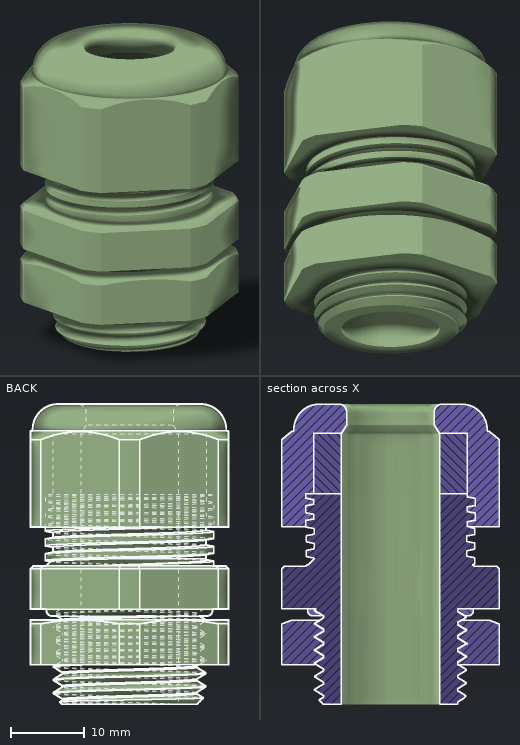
import cadquery as cq
import math

across_flats = 27.0
corner_radius = 14.85

total_height = 40.9
nut_bottom = 5.4
nut_top = 11.5
body_hex_bottom = 12.95
body_hex_top = 18.85
cap_bottom = 24.13
body_top = 28.62

dome_radius = 13.2
dome_round = 3.5
cap_cone_radius = 13.4
cap_cone_top = 37.2
cap_cone_bottom = 36.02
mouth_radius = 5.93
mouth_round = 1.15
mouth_bottom = 38.03

bore_radius = 6.65
seal_top = 36.85
seal_radius = 10.43

body_hex_chamfer = 0.4
shoulder_radius = 11.35
shoulder_height = 1.0

cap_pitch = 2.0
cap_crest_radius = 11.5
cap_root_radius = 10.43
cap_crest_width = 0.9
cap_root_width = 1.3
cap_thread_start = 18.05

entry_pitch = 1.8
entry_crest_radius = 10.4
entry_root_radius = 9.15
entry_crest_width = 0.1
entry_root_width = 1.6
entry_thread_start = -2.05
lead_in_radius = 9.15

ring_radius = 11.33
ring_height = 0.95
ring_round = 0.78
nut_cone_radius = 13.5
nut_cone_height = 0.55

ridge_embedding = 0.1


def cylinder(radius, bottom, top):
    return cq.Workplane("XY").workplane(offset=bottom).circle(radius).extrude(top - bottom)


def hexagon(bottom, top):
    """Hexagonal prism with flats on +X and -X and its corners turned down to a cylinder."""
    prism = (
        cq.Workplane("XY")
        .workplane(offset=bottom)
        .polygon(6, across_flats, circumscribed=True)
        .extrude(top - bottom)
    )
    return prism.intersect(cylinder(corner_radius, bottom, top))


def cone_turned(hexagonal, bottom, top, small_radius, cone_height):
    """Turn the upper corners of a hexagon down to a cone."""
    envelope = (
        cq.Workplane("XZ")
        .polyline([
            (0, bottom),
            (corner_radius, bottom),
            (corner_radius, top - cone_height),
            (small_radius, top),
            (0, top),
        ])
        .close()
        .revolve(360, (0, 0, 0), (0, 1, 0))
    )
    return hexagonal.intersect(envelope)


def threaded_rod(pitch, start, end, root_radius, crest_radius, root_width, crest_width):
    """Round core with a right-handed ridge whose centre line starts on +X at the start height."""
    embedded_radius = root_radius - ridge_embedding
    flank_spread = (root_width - crest_width) / (crest_radius - root_radius)
    half_crest = crest_width / 2
    half_foot = half_crest + flank_spread * (crest_radius - embedded_radius) / 2
    helix = cq.Wire.makeHelix(pitch, end - start, embedded_radius, cq.Vector(0, 0, start))
    ridge = (
        cq.Workplane("XZ")
        .polyline([
            (embedded_radius, start - half_foot),
            (crest_radius, start - half_crest),
            (crest_radius, start + half_crest),
            (embedded_radius, start + half_foot),
        ])
        .close()
        .sweep(cq.Workplane(helix), isFrenet=True)
    )
    return cylinder(root_radius, start - pitch, end + pitch).union(ridge)


def cap_thread():
    """Threaded neck above the body hexagon, with a conical shoulder at its foot."""
    rod = threaded_rod(
        cap_pitch, cap_thread_start, body_top + cap_pitch,
        cap_root_radius, cap_crest_radius, cap_root_width, cap_crest_width,
    )
    shoulder = cq.Workplane(cq.Solid.makeCone(
        shoulder_radius, shoulder_radius - shoulder_height, shoulder_height,
        cq.Vector(0, 0, body_hex_top),
    ))
    return rod.intersect(cylinder(corner_radius, cap_thread_start, body_top)).union(shoulder)


def entry_thread():
    """Threaded shank below the body hexagon, with a 45 degree lead-in at its end."""
    rod = threaded_rod(
        entry_pitch, entry_thread_start, body_hex_bottom + entry_pitch,
        entry_root_radius, entry_crest_radius, entry_root_width, entry_crest_width,
    )
    trimmed = cylinder(corner_radius, 0, body_hex_bottom)
    return rod.intersect(trimmed.faces("<Z").chamfer(corner_radius - lead_in_radius))


def make_body():
    collar = hexagon(body_hex_bottom, body_hex_top).faces(">Z").chamfer(body_hex_chamfer)
    solid = collar.union(cap_thread()).union(entry_thread())
    return solid.cut(cylinder(bore_radius, 0, body_top))


def make_seal():
    """Plain sleeve standing on the end of the body, inside the cap."""
    return cylinder(seal_radius, body_top, seal_top).cut(cylinder(bore_radius, body_top, seal_top))


def make_cap(body):
    """Domed hexagonal cap: a rounded mouth flaring to the seal, then the threaded socket."""
    hexagonal = cone_turned(
        hexagon(cap_bottom, cap_cone_top), cap_bottom, cap_cone_top,
        cap_cone_radius, cap_cone_top - cap_cone_bottom,
    )
    dome = cylinder(dome_radius, cap_bottom, total_height).faces(">Z").edges().fillet(dome_round)
    slant = math.sqrt(0.5)
    mouth_rim = mouth_radius + mouth_round
    mouth = (
        cq.Workplane("XZ")
        .moveTo(0, total_height)
        .lineTo(mouth_rim, total_height)
        .threePointArc(
            (mouth_rim - mouth_round * slant, total_height - mouth_round * (1 - slant)),
            (mouth_radius, total_height - mouth_round),
        )
        .lineTo(mouth_radius, mouth_bottom)
        .lineTo(bore_radius, seal_top)
        .lineTo(0, seal_top)
        .close()
        .revolve(360, (0, 0, 0), (0, 1, 0))
    )
    seal_pocket = cylinder(seal_radius, cap_bottom, seal_top)
    return hexagonal.union(dome).cut(mouth).cut(seal_pocket).cut(body)


def make_sealing_ring(body):
    """Flat ring under the body hexagon, its lower outer edge rounded."""
    disc = cylinder(ring_radius, body_hex_bottom - ring_height, body_hex_bottom)
    rounded = disc.faces("<Z").edges().fillet(ring_round)
    return rounded.cut(cylinder(bore_radius, 0, body_top)).cut(body)


def make_locknut(body):
    """Hexagonal nut whose hole follows the entry thread."""
    blank = cone_turned(
        hexagon(nut_bottom, nut_top), nut_bottom, nut_top, nut_cone_radius, nut_cone_height,
    )
    return blank.cut(cylinder(bore_radius, 0, body_top)).cut(body)


body = make_body()
seal = make_seal()
cap = make_cap(body)
sealing_ring = make_sealing_ring(body)
locknut = make_locknut(body)

parts = [cap, seal, body, sealing_ring, locknut]
result = cq.Compound.makeCompound([part.solids().val() for part in parts])